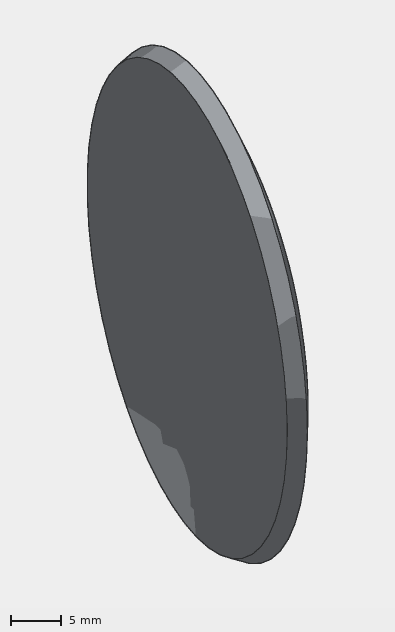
import cadquery as cq
import math

rim_diameter = 52.0
outer_radius = 58.65
wall = 2.0

inner_radius = outer_radius - wall
rim_angle = math.asin(rim_diameter / 2 / outer_radius)
half_rim_angle = rim_angle / 2

centre_y = -inner_radius * math.cos(rim_angle)


def profile_point(radius, angle):
    """Point (X, Y) on a sphere of the given radius, at an angle from the Y axis."""
    return radius * math.sin(angle), centre_y + radius * math.cos(angle)


def dished_disc():
    """Half section of the shell, turned about the Y axis."""
    section = (
        cq.Workplane("XY")
        .moveTo(*profile_point(inner_radius, 0))
        .threePointArc(
            profile_point(inner_radius, half_rim_angle),
            profile_point(inner_radius, rim_angle),
        )
        .lineTo(*profile_point(outer_radius, rim_angle))
        .threePointArc(
            profile_point(outer_radius, half_rim_angle),
            profile_point(outer_radius, 0),
        )
        .close()
    )
    return section.revolve(360, (0, 0, 0), (0, 1, 0))


result = dished_disc()